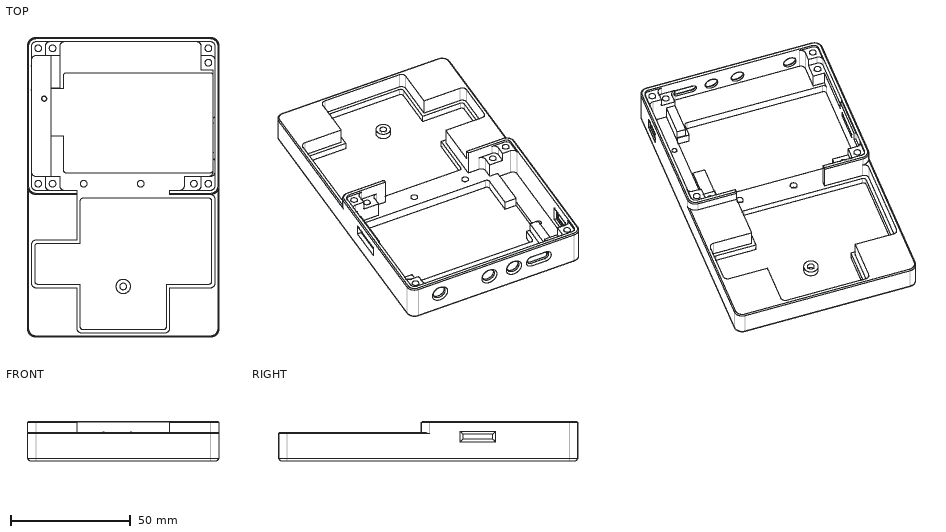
import cadquery as cq

LENGTH_X = 80.0
LENGTH_Y = 125.0
TRAY_HEIGHT = 12.0
TOTAL_HEIGHT = 16.5
CORNER_RADIUS = 3.5
WALL = 1.7
BOTTOM_CHAMFER = 1.0
RIM_CHAMFER = 0.5

OUT_X = LENGTH_X / 2
OUT_Y = LENGTH_Y / 2
TALL_FRONT = -3.0
IN_X = OUT_X - WALL
IN_Y = OUT_Y - WALL
TALL_IN_FRONT = TALL_FRONT + WALL
CAVITY_RADIUS = 2.0
POCKET_RADIUS = 1.2

POCKET_FLOOR = 2.0
BATTERY_FLOOR = 1.0
COLUMN_FLOOR = 3.0
LEDGE = 5.0

FRONT_HALF_WIDTH = 19.4
ARM_FRONT = -42.0
LEFT_ARM_BACK = -22.0
POCKET_MARGIN = 1.4
ARM_POCKET_FRONT = -40.5
POCKET_BACK = -4.5

RAIL_X = 37.5
COLUMN_X = -30.25
BATTERY_LEFT = -25.0
BATTERY_FRONT = 6.0
BATTERY_BACK = 47.75
NOTCH_FRONT = 21.5
NOTCH_BACK = 41.25
RIB_RIGHT = -26.5
RIB_FRONT = 41.5
RIB_TOP = 9.0

SCREW_DIAMETER = 2.8
SCREW_INSET = 4.5
SCREW_HOLE_BOTTOM = 2.0
POST_PITCH = 6.0
RAIL_TOP = 11.5
LOW_POST_TOP = RAIL_TOP
HIGH_POST_TOP = 15.5
POST_HALF = POST_PITCH / 2
WIDE_POST_EDGE = 25.5
SCREW_X = OUT_X - SCREW_INSET
SCREW_BACK = OUT_Y - SCREW_INSET
SCREW_FRONT = TALL_FRONT + SCREW_INSET

LEDGE_HOLE_XS = (-16.5, 7.3)
BOSS_DIAMETER = 6.0
BOSS_Y = -41.4
BOSS_TOP = 4.5
PIN_HOLE_DIAMETER = 2.0
PIN_HOLE_X = -33.0
PIN_HOLE_Y = 37.0

JACK_DIAMETER = 5.5
JACK_XS = (-8.3, 3.2, 26.3)
OPENING_Z = 9.3
SLOT_X = -20.0
SLOT_LENGTH = 10.0
SLOT_HEIGHT = 3.6
WINDOW_Y = 45.6
WINDOW_Z = 8.8
WINDOW_LENGTH = 7.6
WINDOW_HEIGHT = 4.1
WINDOW_FLARE = 0.5
WINDOW_LIP = 0.7
WINDOW_RECESS_MARGIN = 1.2
JACK_FLARE = 0.8
FLARE_ANGLE = 45.0

PAD_FRONT = 11.75
PAD_BACK = 29.0
PAD_TOP = 15.5
PAD_FILLET = 0.7
CARD_FRONT = 14.5
CARD_BACK = 26.9
CARD_BOTTOM = 9.2
CARD_HEIGHT = 2.0
CARD_FLARE = 1.2


def block(x0, x1, y0, y1, z0, z1):
    """Box between the given limits."""
    return cq.Workplane("XY").box(x1 - x0, y1 - y0, z1 - z0, centered=False).translate((x0, y0, z0))


def rounded_block(x0, x1, y0, y1, z0, z1, radius):
    """Box with rounded vertical edges."""
    return block(x0, x1, y0, y1, z0, z1).edges("|Z").fillet(radius)


def cylinder(x, y, diameter, z0, z1):
    """Upright cylinder between two heights."""
    return cq.Workplane("XY", origin=(x, y, z0)).circle(diameter / 2).extrude(z1 - z0)


def make_case():
    """Full-length tray with the taller rear section on top, all still solid."""
    tray = rounded_block(-OUT_X, OUT_X, -OUT_Y, OUT_Y, 0, TRAY_HEIGHT, CORNER_RADIUS)
    tray = tray.faces("<Z").chamfer(BOTTOM_CHAMFER).faces(">Z").chamfer(RIM_CHAMFER)
    tall = rounded_block(-OUT_X, OUT_X, TALL_FRONT, OUT_Y, BOTTOM_CHAMFER, TOTAL_HEIGHT, CORNER_RADIUS)
    return tray.union(tall.faces(">Z").chamfer(RIM_CHAMFER))


def front_space(margin, arm_front, arm_back, right_back, stem_back, floor, radius):
    """Crossing stem and arms of the front compartment."""
    half = FRONT_HALF_WIDTH - margin
    reach = IN_X - margin
    stem = rounded_block(-half, half, -IN_Y + margin, stem_back, floor, TOTAL_HEIGHT, radius)
    left = rounded_block(-reach, 0, arm_front, arm_back, floor, TOTAL_HEIGHT, radius)
    right = rounded_block(0, reach, arm_front, right_back, floor, TOTAL_HEIGHT, radius)
    return stem.union(left).union(right)


def cut_front(body):
    """Front cavity down to the ledge, with a narrower pocket below it."""
    cavity = front_space(0, ARM_FRONT, LEFT_ARM_BACK, TALL_FRONT, SCREW_FRONT + CAVITY_RADIUS, LEDGE,
                         CAVITY_RADIUS)
    pocket = front_space(POCKET_MARGIN, ARM_POCKET_FRONT, LEFT_ARM_BACK - POCKET_MARGIN,
                         POCKET_BACK, POCKET_BACK, POCKET_FLOOR, POCKET_RADIUS)
    return body.cut(cavity).cut(pocket)


def cut_rear(body):
    """Rear cavity with the right rail, the battery pocket, the left column and its rib."""
    lower = rounded_block(-IN_X, RAIL_X, TALL_IN_FRONT, IN_Y, LEDGE, TOTAL_HEIGHT, CAVITY_RADIUS)
    upper = rounded_block(-IN_X, IN_X, TALL_IN_FRONT, IN_Y, RAIL_TOP, TOTAL_HEIGHT, CAVITY_RADIUS)
    battery = rounded_block(BATTERY_LEFT, RAIL_X, BATTERY_FRONT, BATTERY_BACK, BATTERY_FLOOR, LEDGE,
                            POCKET_RADIUS)
    notch = block(COLUMN_X, BATTERY_LEFT + POCKET_RADIUS, NOTCH_FRONT, NOTCH_BACK, BATTERY_FLOOR, LEDGE)
    column = block(-IN_X, COLUMN_X, SCREW_FRONT, SCREW_BACK, COLUMN_FLOOR, LEDGE)
    rib = block(COLUMN_X, RIB_RIGHT, RIB_FRONT, SCREW_BACK, BATTERY_FLOOR, RIB_TOP)
    body = body.cut(lower).cut(upper).cut(battery).cut(notch).cut(column)
    return body.union(rib)


def corner_web(x, y, x_side, y_side, bottom, top, radius=CAVITY_RADIUS):
    """Concave rounding between a post and a wall meeting at (x, y), open toward the given sides."""
    web = block(0, radius, 0, radius, bottom, top)
    web = web.cut(cylinder(radius, radius, 2 * radius, bottom, top))
    if x_side < 0:
        web = web.mirror("YZ")
    if y_side < 0:
        web = web.mirror("XZ")
    return web.translate((x, y, 0))


def add_posts(body):
    """Square screw posts, full height in the corners and lower beside them."""
    back = SCREW_BACK - POST_HALF
    front = SCREW_FRONT + POST_HALF
    inner = SCREW_X - POST_HALF
    low_inner = inner - POST_PITCH

    posts = [
        (-IN_X, -inner, back, IN_Y, HIGH_POST_TOP),
        (inner, IN_X, back, IN_Y, HIGH_POST_TOP),
        (-IN_X, -inner, TALL_IN_FRONT, front, HIGH_POST_TOP),
        (inner, IN_X, TALL_IN_FRONT, front, HIGH_POST_TOP),
        (-inner, -low_inner, back, IN_Y, LOW_POST_TOP),
        (-inner, -low_inner, TALL_IN_FRONT, front, LOW_POST_TOP),
        (WIDE_POST_EDGE, inner, TALL_IN_FRONT, front, LOW_POST_TOP),
        (inner, IN_X, back - POST_PITCH, back, LOW_POST_TOP),
    ]
    for x0, x1, y0, y1, top in posts:
        body = body.union(block(x0, x1, y0, y1, SCREW_HOLE_BOTTOM, top))

    webs = [
        (-inner, IN_Y, 1, -1, LEDGE, HIGH_POST_TOP),
        (-low_inner, IN_Y, 1, -1, LEDGE, LOW_POST_TOP),
        (inner, IN_Y, -1, -1, LEDGE, HIGH_POST_TOP),
        (-IN_X, back, 1, -1, COLUMN_FLOOR, HIGH_POST_TOP),
        (-IN_X, front, 1, 1, COLUMN_FLOOR, HIGH_POST_TOP),
        (IN_X, back, -1, -1, LOW_POST_TOP, HIGH_POST_TOP),
        (IN_X, front, -1, 1, RAIL_TOP, HIGH_POST_TOP),
        (RAIL_X, front, -1, 1, LEDGE, RAIL_TOP),
        (-inner, TALL_IN_FRONT, 1, 1, LOW_POST_TOP, HIGH_POST_TOP),
        (-low_inner, TALL_IN_FRONT, 1, 1, LEDGE, LOW_POST_TOP),
        (inner, TALL_IN_FRONT, -1, 1, LOW_POST_TOP, HIGH_POST_TOP),
        (WIDE_POST_EDGE, TALL_IN_FRONT, -1, 1, LEDGE, LOW_POST_TOP),
    ]
    for web in webs:
        body = body.union(corner_web(*web))

    low_x = SCREW_X - POST_PITCH
    screws = [(x, y) for x in (-SCREW_X, SCREW_X) for y in (SCREW_FRONT, SCREW_BACK)]
    screws += [(-low_x, SCREW_BACK), (-low_x, SCREW_FRONT), (low_x, SCREW_FRONT)]
    screws += [(SCREW_X, SCREW_BACK - POST_PITCH)]
    return cut_screw_holes(body, screws)


def cut_screw_holes(body, points):
    for x, y in points:
        body = body.cut(cylinder(x, y, SCREW_DIAMETER, SCREW_HOLE_BOTTOM, TOTAL_HEIGHT))
    return body


def add_boss_and_floor_holes(body):
    body = body.union(cylinder(0, BOSS_Y, BOSS_DIAMETER, BOTTOM_CHAMFER, BOSS_TOP))
    body = cut_screw_holes(body, [(x, SCREW_FRONT) for x in LEDGE_HOLE_XS] + [(0, BOSS_Y)])
    return body.cut(cylinder(PIN_HOLE_X, PIN_HOLE_Y, PIN_HOLE_DIAMETER, 0, LEDGE))


def flared(plane, outline, depth, flare):
    """Opening inward from an outer wall face, with a 45 degree flare at its mouth.

    The function outline(workplane, growth) draws the opening enlarged all round by growth.
    """
    opening = outline(plane, 0).extrude(depth)
    mouth = outline(plane, flare).extrude(flare, taper=FLARE_ANGLE)
    return opening.union(mouth)


def back_plane(x):
    """Plane on the outer back face, looking inward."""
    return cq.Workplane("XZ", origin=(x, OUT_Y, OPENING_Z))


def cut_back_openings(body):
    def jack(plane, growth):
        return plane.circle(JACK_DIAMETER / 2 + growth)

    def slot(plane, growth):
        return plane.slot2D(SLOT_LENGTH + 2 * growth, SLOT_HEIGHT + 2 * growth)

    for x in JACK_XS:
        body = body.cut(flared(back_plane(x), jack, WALL, JACK_FLARE))
    return body.cut(flared(back_plane(SLOT_X), slot, WALL, JACK_FLARE))


def cut_window(body):
    """Flared side window in a wall thinned from inside to a narrow lip."""
    def outline(plane, growth):
        return plane.rect(WINDOW_LENGTH + 2 * growth, WINDOW_HEIGHT + 2 * growth)

    left_plane = cq.Workplane("YZ", origin=(-OUT_X, WINDOW_Y, WINDOW_Z))
    recess = outline(left_plane, WINDOW_RECESS_MARGIN).extrude(WALL)
    recess = recess.translate((WINDOW_LIP, 0, 0)).intersect(block(-OUT_X, -IN_X, 0, OUT_Y, 0, TOTAL_HEIGHT))
    return body.cut(recess).cut(flared(left_plane, outline, WALL, WINDOW_FLARE))


def add_card_slot(body):
    """Pad above the right rail, pierced by a slot that flares out through the wall."""
    def outline(plane, growth):
        return plane.rect(CARD_HEIGHT + 2 * growth, CARD_BACK - CARD_FRONT + 2 * growth)

    pad = block(RAIL_X, IN_X, PAD_FRONT, PAD_BACK, LEDGE, PAD_TOP)
    for y, side in ((PAD_FRONT, -1), (PAD_BACK, 1)):
        pad = pad.union(corner_web(IN_X, y, -1, side, RAIL_TOP, PAD_TOP, PAD_FILLET))
    middle = (CARD_FRONT + CARD_BACK) / 2
    right_plane = cq.Workplane("ZY", origin=(OUT_X, middle, CARD_BOTTOM + CARD_HEIGHT / 2))
    return body.union(pad).cut(flared(right_plane, outline, OUT_X - RAIL_X, CARD_FLARE))


case = cut_rear(cut_front(make_case()))
case = add_boss_and_floor_holes(add_posts(case))
result = add_card_slot(cut_window(cut_back_openings(case)))